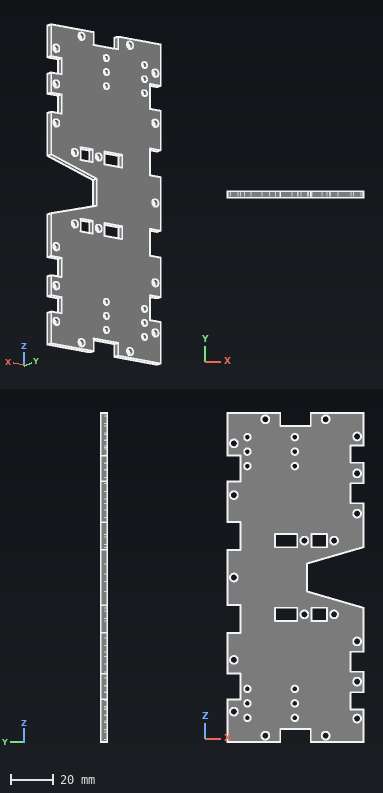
import cadquery as cq

width = 64.4
thickness = 3.1
height = 155.5
half_height = height / 2

notch_depth = 6.2
end_notch_width = 14.3
left_notches = [(13.0, 26.1), (45.4, 57.5)]
right_notches = [(35.1, 44.5), (54.3, 62.2)]

mouth_floor_x = 37.6
mouth_floor_half = 6.5
mouth_opening_half = 14.3

mount_diameter = 3.5
edge_inset = notch_depth / 2
end_hole_spacing = 28.5
left_hole_heights = [38.9, 63.3]
right_hole_heights = [30.2, 49.1, 66.5]

small_diameter = 3.0
small_columns_x = [9.5, 31.9]
small_row_middle = 59.4
small_row_pitch = 6.8

window_row_height = 17.4
window_height = 6.2
windows = [(22.5, 33.0), (39.8, 47.0)]
window_row_holes_x = [36.4, 50.4]


def box_cutter(x_min, x_max, z_min, z_max):
    """Rectangular cutter through the plate thickness."""
    size_x = x_max - x_min
    size_z = z_max - z_min
    return cq.Workplane("XY").box(size_x, thickness, size_z).translate(
        ((x_min + x_max) / 2, 0, (z_min + z_max) / 2)
    )


def mirrored_cut(plate, x_min, x_max, z_min, z_max):
    """Cut a rectangle and its mirror image below Z = 0."""
    plate = plate.cut(box_cutter(x_min, x_max, z_min, z_max))
    return plate.cut(box_cutter(x_min, x_max, -z_max, -z_min))


def mirrored_points(points):
    """Add the mirror image of every (X, Z) point."""
    return points + [(x, -z) for x, z in points]


def drill(plate, points, diameter):
    """Drill through the plate at the given (X, Z) points."""
    cutter = (
        cq.Workplane("XZ")
        .pushPoints(points)
        .circle(diameter / 2)
        .extrude(thickness, both=True)
    )
    return plate.cut(cutter)


plate = (
    cq.Workplane("XZ", origin=(0, thickness / 2, 0))
    .polyline([
        (0, -half_height),
        (width, -half_height),
        (width, -mouth_opening_half),
        (mouth_floor_x, -mouth_floor_half),
        (mouth_floor_x, mouth_floor_half),
        (width, mouth_opening_half),
        (width, half_height),
        (0, half_height),
    ])
    .close()
    .extrude(thickness)
)

end_notch_start = (width - end_notch_width) / 2
plate = mirrored_cut(
    plate, end_notch_start, end_notch_start + end_notch_width, half_height - notch_depth, half_height
)
for z_min, z_max in left_notches:
    plate = mirrored_cut(plate, 0, notch_depth, z_min, z_max)
for z_min, z_max in right_notches:
    plate = mirrored_cut(plate, width - notch_depth, width, z_min, z_max)

window_bottom = window_row_height - window_height / 2
for x_min, x_max in windows:
    plate = mirrored_cut(plate, x_min, x_max, window_bottom, window_bottom + window_height)

upper_mounts = [(width / 2 + side * end_hole_spacing / 2, half_height - edge_inset) for side in (-1, 1)]
upper_mounts += [(edge_inset, z) for z in left_hole_heights]
upper_mounts += [(width - edge_inset, z) for z in right_hole_heights]
upper_mounts += [(x, window_row_height) for x in window_row_holes_x]
left_middle_mount = (edge_inset, 0)
plate = drill(plate, mirrored_points(upper_mounts) + [left_middle_mount], mount_diameter)

upper_small_holes = [
    (x, small_row_middle + row * small_row_pitch)
    for x in small_columns_x
    for row in (-1, 0, 1)
]
plate = drill(plate, mirrored_points(upper_small_holes), small_diameter)

result = plate